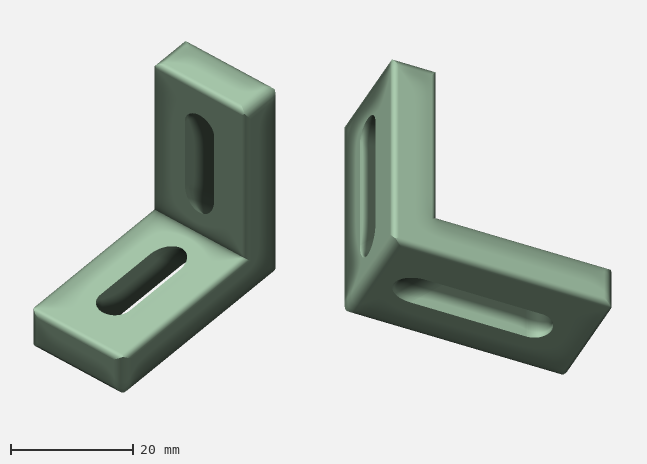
import cadquery as cq
import math

leg_length = 40.0
width = 20.0
thickness = 8.0

edge_radius = 1.0
corner_radius = 2.0
heel_radius = 2.0

slot_width = 6.2
slot_radius = slot_width / 2
slant_angle = 45.0
upright_slot_start = 6.1
upright_slot_end = 27.35
base_slot_start = 6.95
base_slot_end = 27.35

back = leg_length
inner_face = leg_length - thickness


def angle_prism():
    """Sharp-edged L section in the YZ plane, extended across the width."""
    return (
        cq.Workplane("YZ")
        .polyline([
            (0, 0),
            (back, 0),
            (back, leg_length),
            (inner_face, leg_length),
            (inner_face, thickness),
            (0, thickness),
        ])
        .close()
        .extrude(width / 2, both=True)
    )


def rounded_section():
    """L prism with its leg tips and heel rounded along X."""
    body = angle_prism()
    body = body.faces("<Y or >Z").edges("|X").fillet(edge_radius)
    heel_edge = cq.selectors.NearestToPointSelector((0, back, 0))
    return body.edges(heel_edge).fillet(heel_radius)


def rounded_sides():
    """L prism with mitred rounding around both side faces, except at the leg tips."""
    return angle_prism().faces("<X or >X").edges("not(<Y or >Z)").fillet(edge_radius)


def rounded_tips():
    """Bounding block with the side corners of both leg tips rounded."""
    block = cq.Workplane("XY").box(width, leg_length, leg_length, centered=(True, False, False))
    upright_tip = block.edges("|Y and >Z").fillet(corner_radius)
    base_tip = block.edges("|Z and <Y").fillet(corner_radius)
    return upright_tip.intersect(base_tip)


def slot_cutter(start, end):
    """Slot through the base leg, from its square end to its slanted end."""
    slant = math.radians(slant_angle)
    start_centre = start + slot_radius
    end_centre = end - slot_radius / math.cos(slant)
    shift = thickness * math.tan(slant)

    square_end = cq.Workplane("XY").center(0, start_centre).circle(slot_radius).extrude(thickness)
    straight = (
        cq.Workplane("YZ")
        .polyline([
            (start_centre, 0),
            (end_centre + shift, 0),
            (end_centre, thickness),
            (start_centre, thickness),
        ])
        .close()
        .extrude(slot_radius, both=True)
    )
    axis = cq.Vector(0, math.sin(slant), -math.cos(slant))
    hole_start = cq.Vector(0, end_centre, thickness) - axis * thickness
    hole_length = 2 * thickness + thickness / math.cos(slant)
    slanted_hole = cq.Workplane(cq.Solid.makeCylinder(slot_radius, hole_length, hole_start, axis))
    leg = cq.Workplane("XY").box(width, leg_length, thickness, centered=(True, False, False))
    return square_end.union(straight).union(slanted_hole.intersect(leg))


def onto_upright(cutter):
    """Mirror a base-leg cutter across the bracket's diagonal plane onto the upright leg."""
    standing = cutter.rotate((0, 0, 0), (1, 0, 0), -90)
    return standing.mirror("XZ").translate((0, back, leg_length))


bracket = rounded_section().intersect(rounded_sides()).intersect(rounded_tips())
base_slot = slot_cutter(base_slot_start, base_slot_end)
upright_slot = onto_upright(slot_cutter(upright_slot_start, upright_slot_end))
result = bracket.cut(base_slot).cut(upright_slot)